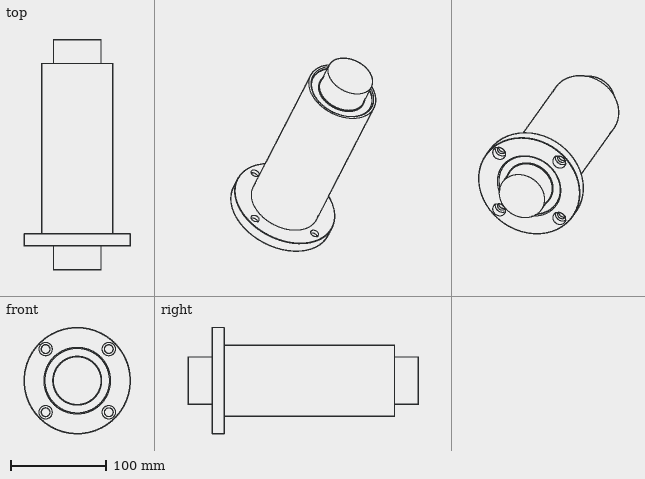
import cadquery as cq
import math

total_length = 242.0
shaft_overhang = 25.0
shaft_diameter = 50.0
body_diameter = 75.0

flange_diameter = 112.0
flange_thickness = 13.0
flange_chamfer = 0.5

screw_circle_diameter = 94.0
screw_hole_diameter = 9.0
counterbore_diameter = 14.0
counterbore_depth = 8.7

recess_diameter = 67.8
recess_depth = 2.5
recess_chamfer = 1.2
lip_diameter = 51.5
lip_height = 1.2

shaft_front_y = -total_length / 2
body_front_y = shaft_front_y + shaft_overhang
body_length = total_length - 2 * shaft_overhang


def cylinder(diameter, start_y, length):
    """Solid cylinder on the Y axis, running from start_y toward +Y."""
    plane = cq.Workplane("XZ", origin=(0, start_y, 0))
    return plane.circle(diameter / 2).extrude(-length)


def screw_holes():
    """Cutter for four counterbored through holes on a square pattern."""
    spacing = screw_circle_diameter / math.sqrt(2)
    front_face = cq.Workplane("XZ", origin=(0, body_front_y, 0))
    centres = front_face.rect(spacing, spacing, forConstruction=True).vertices()
    through_holes = centres.circle(screw_hole_diameter / 2).extrude(-flange_thickness)
    counterbores = centres.circle(counterbore_diameter / 2).extrude(-counterbore_depth)
    return through_holes.union(counterbores)


def front_recess():
    """Ring-shaped cutter for the front face, leaving the seal lip standing on the recess floor."""
    floor_y = body_front_y + recess_depth
    lip_y = floor_y - lip_height
    shaft_radius = shaft_diameter / 2
    lip_radius = lip_diameter / 2
    recess_radius = recess_diameter / 2
    profile = [
        (shaft_radius, body_front_y),
        (shaft_radius, lip_y),
        (lip_radius, lip_y),
        (lip_radius, floor_y),
        (recess_radius, floor_y),
        (recess_radius, body_front_y + recess_chamfer),
        (recess_radius + recess_chamfer, body_front_y),
    ]
    return cq.Workplane("XY").polyline(profile).close().revolve(360, (0, 0), (0, 1))


body = cylinder(body_diameter, body_front_y, body_length)
flange = cylinder(flange_diameter, body_front_y, flange_thickness).edges().chamfer(flange_chamfer)
shaft = cylinder(shaft_diameter, shaft_front_y, total_length)
seal_recess = front_recess()

housing = body.union(flange).cut(screw_holes())
housing = housing.cut(seal_recess).cut(seal_recess.mirror("XZ"))
result = housing.union(shaft)